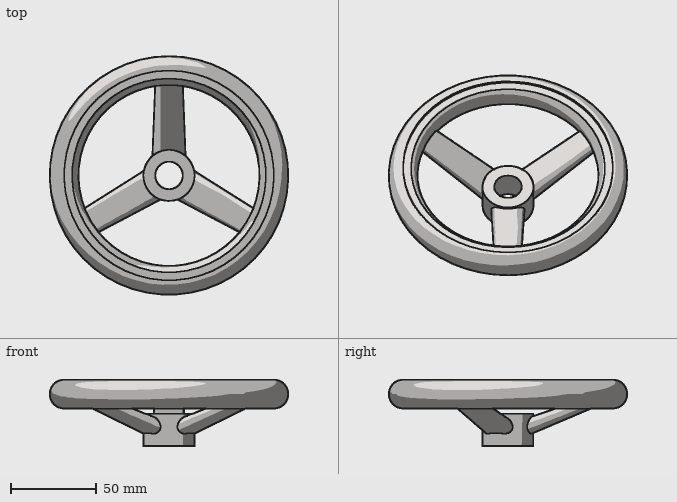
import cadquery as cq
import math

outer_radius = 70.0
rim_section_radius = 8.5
rim_center_radius = outer_radius - rim_section_radius
step_depth = 1.4

hub_diameter = 30.0
hub_height = 19.0
bore_diameter = 16.0

overall_height = 39.0
rim_center_height = overall_height - rim_section_radius

spoke_count = 3
first_spoke_angle = 90.0
spoke_axis_height = 7.0
spoke_flat_width = 10.0
spoke_thickness_at_axis = 10.5
spoke_thickness_at_rim = 5.7


def make_rim():
    """Revolve the rim section: a circle whose upper inner side is cut flat at the step."""
    step_height = rim_section_radius - step_depth
    step_half_chord = math.sqrt(rim_section_radius**2 - step_height**2)
    half_step_angle = math.atan2(step_height, step_half_chord) / 2
    upper_arc_middle = (
        rim_center_radius - rim_section_radius * math.cos(half_step_angle),
        rim_center_height + rim_section_radius * math.sin(half_step_angle),
    )
    return (
        cq.Workplane("YZ")
        .moveTo(rim_center_radius - step_half_chord, rim_center_height + step_height)
        .lineTo(rim_center_radius, rim_center_height + step_height)
        .lineTo(rim_center_radius, overall_height)
        .radiusArc((outer_radius, rim_center_height), rim_section_radius)
        .threePointArc(
            (rim_center_radius, rim_center_height - rim_section_radius),
            (rim_center_radius - rim_section_radius, rim_center_height),
        )
        .threePointArc(
            upper_arc_middle,
            (rim_center_radius - step_half_chord, rim_center_height + step_height),
        )
        .close()
        .revolve(360, (0, 0, 0), (0, 1, 0))
    )


def make_hub():
    return cq.Workplane("XY").circle(hub_diameter / 2).extrude(hub_height)


def make_spoke(angle):
    """Loft one tapered spoke along the line from the hub axis up to the rim center."""
    rise = rim_center_height - spoke_axis_height
    length = math.hypot(rim_center_radius, rise)
    section_plane = cq.Plane(
        origin=(0, 0, spoke_axis_height),
        xDir=(0, 1, 0),
        normal=(rim_center_radius, 0, rise),
    )
    spoke = (
        cq.Workplane(section_plane)
        .slot2D(spoke_flat_width + spoke_thickness_at_axis, spoke_thickness_at_axis)
        .workplane(offset=length)
        .slot2D(spoke_flat_width + spoke_thickness_at_rim, spoke_thickness_at_rim)
        .loft(ruled=True)
    )
    return spoke.rotate((0, 0, 0), (0, 0, 1), angle)


def make_bore():
    return cq.Workplane("XY").circle(bore_diameter / 2).extrude(hub_height)


spoke_spacing = 360.0 / spoke_count
wheel = make_hub().union(make_rim())
for index in range(spoke_count):
    wheel = wheel.union(make_spoke(first_spoke_angle + index * spoke_spacing))

result = wheel.cut(make_bore())